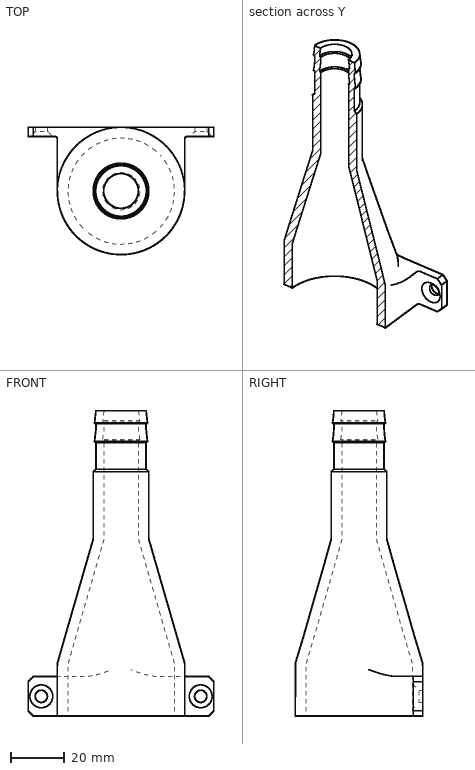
import cadquery as cq
import math

base_radius = 48 / 2
base_height = 20
base_bore_radius = 40 / 2
cone_top = 66.7
sleeve_radius = 21 / 2
sleeve_top = 93
sleeve_chamfer = 1
neck_radius = 19 / 2
neck_bore_radius = 13 / 2
total_height = 115

barb_rise = 0.5
barb_flare_length = 4.5
bore_flare_length = 3.65
barb_pitch = 7
barb_count = 2

block_height = 15
block_blend_radius = 4
tab_span = 70
tab_thickness = 3.5
tab_corner_chamfer = 2
tab_root_fillet = 1

screw_spacing = 60
screw_diameter = 4.5
countersink_diameter = 8.6
countersink_angle = 90


def barb_points(root_radius, flare_length):
    """Profile (radius, z) of the barbs or bore flares, from the top of the neck downward."""
    points = []
    for index in range(barb_count):
        barb_top = total_height - index * barb_pitch
        flare_bottom = barb_top - flare_length
        points.append((root_radius, barb_top))
        points.append((root_radius + barb_rise, flare_bottom))
        points.append((root_radius, flare_bottom - barb_rise))
    return points


def revolve_profile(points):
    """Solid of revolution about Z from a closed (radius, z) outline."""
    return cq.Workplane("XZ").polyline(points).close().revolve(360, (0, 0, 0), (0, 1, 0))


def make_funnel_outside():
    lower_points = [
        (0, 0),
        (base_radius, 0),
        (base_radius, base_height),
        (sleeve_radius, cone_top),
        (sleeve_radius, sleeve_top - sleeve_chamfer),
        (sleeve_radius - sleeve_chamfer, sleeve_top),
    ]
    upper_points = barb_points(neck_radius, barb_flare_length)[::-1]
    return revolve_profile(lower_points + upper_points + [(0, total_height)])


def make_funnel_bore():
    lower_points = [
        (0, 0),
        (base_bore_radius, 0),
        (base_bore_radius, base_height),
        (neck_bore_radius, cone_top),
    ]
    upper_points = barb_points(neck_bore_radius, bore_flare_length)[::-1]
    return revolve_profile(lower_points + upper_points + [(0, total_height)])


def make_block():
    """Square half of the base, between the funnel and the mounting face."""
    return cq.Workplane("XY").box(
        2 * base_radius, base_radius, block_height, centered=(True, False, False)
    )


def make_tabs():
    return (
        cq.Workplane("XY")
        .box(tab_span, tab_thickness, block_height, centered=(True, False, False))
        .edges("|Y")
        .chamfer(tab_corner_chamfer)
        .translate((0, base_radius - tab_thickness, 0))
    )


def make_block_blend():
    """Concave ring that blends the block top into the base wall, kept within the block outline."""
    ring_radius = base_radius + block_blend_radius
    ring_top = block_height + block_blend_radius
    arc_depth = block_blend_radius * (1 - math.sqrt(0.5))
    ring = (
        cq.Workplane("XZ")
        .moveTo(base_bore_radius, block_height)
        .lineTo(ring_radius, block_height)
        .threePointArc((base_radius + arc_depth, block_height + arc_depth), (base_radius, ring_top))
        .lineTo(base_bore_radius, ring_top)
        .close()
        .revolve(360, (0, 0, 0), (0, 1, 0))
    )
    outline = cq.Workplane("XY").box(
        2 * base_radius, base_radius, ring_top, centered=(True, False, False)
    )
    return ring.intersect(outline)


def round_tab_roots(body):
    """Fillet the two upright inside corners between the tabs and the block."""
    root_y = base_radius - tab_thickness
    for root_x in (-base_radius, base_radius):
        corner = cq.selectors.NearestToPointSelector((root_x, root_y, block_height / 2))
        body = body.edges("|Z").edges(corner).fillet(tab_root_fillet)
    return body


def make_screw_holes():
    """Cutters for the screw holes, countersunk from the -Y face of each tab."""
    front_plane = cq.Plane(
        origin=(0, base_radius - tab_thickness, block_height / 2), xDir=(1, 0, 0), normal=(0, -1, 0)
    )
    centers = [(-screw_spacing / 2, 0), (screw_spacing / 2, 0)]
    countersink_step = (countersink_diameter - screw_diameter) / 2
    countersink_depth = countersink_step / math.tan(math.radians(countersink_angle / 2))
    shanks = (
        cq.Workplane(front_plane)
        .pushPoints(centers)
        .circle(screw_diameter / 2)
        .extrude(-tab_thickness)
    )
    countersinks = (
        cq.Workplane(front_plane)
        .pushPoints(centers)
        .circle(countersink_diameter / 2)
        .extrude(-countersink_depth, taper=countersink_angle / 2)
    )
    return shanks.union(countersinks)


body = make_funnel_outside().union(make_block()).union(make_tabs())
body = round_tab_roots(body)
body = body.union(make_block_blend())
result = body.cut(make_funnel_bore()).cut(make_screw_holes())